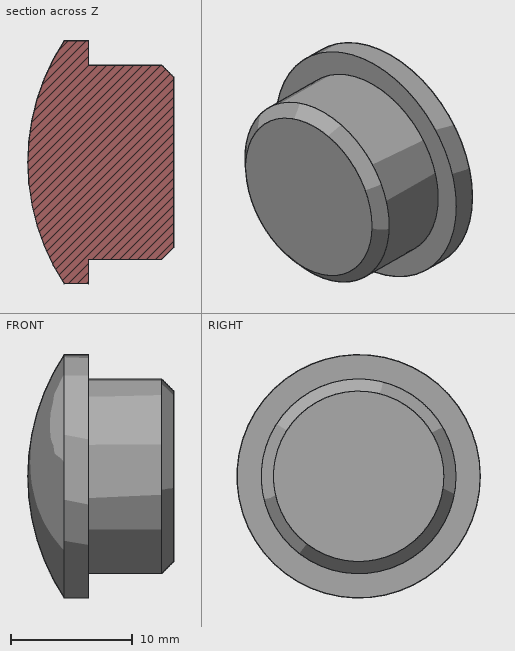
import cadquery as cq
import math

head_diameter = 20.0
dome_height = 3.0
rim_thickness = 2.0
stem_diameter = 16.0
stem_length = 7.0
tip_chamfer = 1.0

head_radius = head_diameter / 2
stem_radius = stem_diameter / 2
total_length = dome_height + rim_thickness + stem_length

rim_front = dome_height
rim_back = rim_front + rim_thickness

dome_radius = (head_radius**2 + dome_height**2) / (2 * dome_height)
mid_angle = math.asin(head_radius / dome_radius) / 2
dome_mid_point = (
    dome_radius * (1 - math.cos(mid_angle)),
    dome_radius * math.sin(mid_angle),
)

profile = (
    cq.Workplane("XY")
    .moveTo(0, 0)
    .threePointArc(dome_mid_point, (rim_front, head_radius))
    .lineTo(rim_back, head_radius)
    .lineTo(rim_back, stem_radius)
    .lineTo(total_length - tip_chamfer, stem_radius)
    .lineTo(total_length, stem_radius - tip_chamfer)
    .lineTo(total_length, 0)
    .close()
)

result = profile.revolve(360, (0, 0, 0), (1, 0, 0))